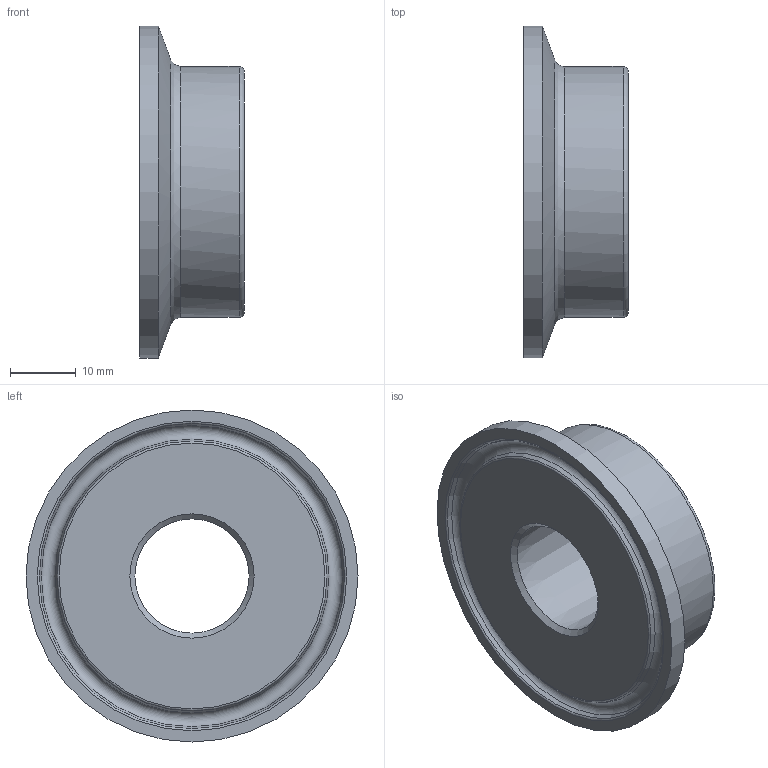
import cadquery as cq
import math

length = 15.88

flange_diameter = 50.39
rim_width = 2.84
back_taper_angle = math.radians(20.0)

hub_diameter = 38.1
neck_fillet = 1.6
hub_end_fillet = 0.79

bore_diameter = 17.34
bore_taper = 1.0 / 16.0
bore_mouth_diameter = 18.86
bore_chamfer_depth = 0.7

groove_diameter = 43.66
groove_width = 3.32
groove_wall_angle = math.radians(25.0)
groove_bottom_radius = 1.16
groove_lip_radius = 0.34


def revolve_about_axis(profile):
    """Turn a closed profile, drawn as (axial, radial), about the X axis."""
    return profile.revolve(360, (0, 0, 0), (1, 0, 0))


def flange_and_hub():
    """Clamp flange whose tapered back runs into the cylindrical hub."""
    flange_radius = flange_diameter / 2
    hub_radius = hub_diameter / 2
    neck_x = rim_width + (flange_radius - hub_radius) * math.tan(back_taper_angle)
    profile = (
        cq.Workplane("XY")
        .moveTo(0, 0)
        .lineTo(0, flange_radius)
        .lineTo(rim_width, flange_radius)
        .lineTo(neck_x, hub_radius)
        .lineTo(length, hub_radius)
        .lineTo(length, 0)
        .close()
    )
    body = revolve_about_axis(profile)
    neck_corner = cq.selectors.NearestToPointSelector((neck_x, 0, 0))
    body = body.edges("%CIRCLE").edges(neck_corner).fillet(neck_fillet)
    return body.faces(">X").edges().fillet(hub_end_fillet)


def groove_cutter():
    """Ring groove in the clamp face, symmetric about its mean diameter."""
    mean_radius = groove_diameter / 2
    half_width = groove_width / 2
    sin_wall = math.sin(groove_wall_angle)
    cos_wall = math.cos(groove_wall_angle)

    lip_end = (groove_lip_radius * (1 - sin_wall), half_width - groove_lip_radius * cos_wall)
    bottom_start_offset = groove_bottom_radius * cos_wall
    wall_depth = (lip_end[1] - bottom_start_offset) / math.tan(groove_wall_angle)
    bottom_start = (lip_end[0] + wall_depth, bottom_start_offset)
    groove_depth = bottom_start[0] + groove_bottom_radius * (1 - sin_wall)

    half_turn = (math.pi / 2 - groove_wall_angle) / 2
    lip_middle = (
        groove_lip_radius * (1 - math.cos(half_turn)),
        half_width - groove_lip_radius * math.sin(half_turn),
    )

    def outer(point):
        return point[0], mean_radius + point[1]

    def inner(point):
        return point[0], mean_radius - point[1]

    profile = (
        cq.Workplane("XY")
        .moveTo(0, mean_radius + half_width)
        .threePointArc(outer(lip_middle), outer(lip_end))
        .lineTo(*outer(bottom_start))
        .threePointArc((groove_depth, mean_radius), inner(bottom_start))
        .lineTo(*inner(lip_end))
        .threePointArc(inner(lip_middle), (0, mean_radius - half_width))
        .close()
    )
    return revolve_about_axis(profile)


def bore_cutter():
    """Tapered through bore with a chamfered mouth at the clamp face."""
    small_radius = bore_diameter / 2
    large_radius = small_radius + (length - bore_chamfer_depth) * bore_taper / 2
    profile = (
        cq.Workplane("XY")
        .moveTo(0, 0)
        .lineTo(0, bore_mouth_diameter / 2)
        .lineTo(bore_chamfer_depth, small_radius)
        .lineTo(length, large_radius)
        .lineTo(length, 0)
        .close()
    )
    return revolve_about_axis(profile)


result = flange_and_hub().cut(groove_cutter()).cut(bore_cutter())